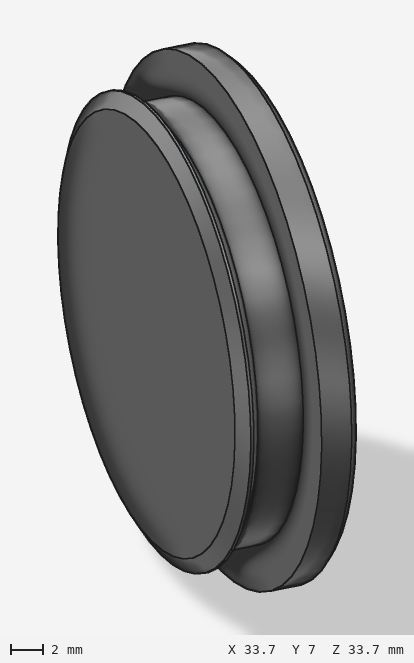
import cadquery as cq

flange_radius = 16.85
flange_thickness = 2.5
flange_chamfer = 0.5

neck_radius = 13.95
neck_length = 3.0

lip_radius = 15.0
lip_rear_slope = 0.7
lip_land = 0.2
lip_front_slope = 0.6
front_face_radius = neck_radius

y_back = 0.0
y_flange_edge = y_back - flange_chamfer
y_flange_front = y_back - flange_thickness
y_neck_end = y_flange_front - neck_length
y_land_start = y_neck_end - lip_rear_slope
y_land_end = y_land_start - lip_land
y_front = y_land_end - lip_front_slope

half_section = [
    (y_back, 0),
    (y_back, flange_radius - flange_chamfer),
    (y_flange_edge, flange_radius),
    (y_flange_front, flange_radius),
    (y_flange_front, neck_radius),
    (y_neck_end, neck_radius),
    (y_land_start, lip_radius),
    (y_land_end, lip_radius),
    (y_front, front_face_radius),
    (y_front, 0),
]

result = (
    cq.Workplane("YZ")
    .polyline(half_section)
    .close()
    .revolve(360, (0, 0, 0), (1, 0, 0))
)